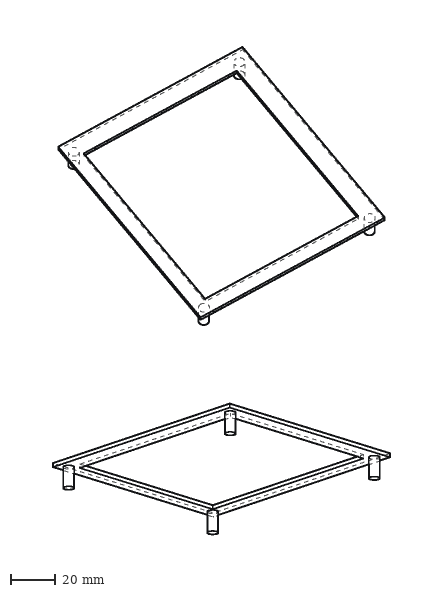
import cadquery as cq

length = 115.0
width = 100.0
height = 12.0
plate_thickness = 2.0

left_border = 9.5
right_border = 7.5
front_border = 7.5
back_border = 9.5

pin_diameter = 5.0
pin_inset_x = 5.0
pin_inset_y = 5.1


def make_plate():
    """Rectangular plate with its front-left corner at the origin and its underside at Z = 0."""
    return cq.Workplane("XY").box(length, width, plate_thickness, centered=False)


def make_window():
    """Block that cuts the rectangular window through the plate."""
    window_length = length - left_border - right_border
    window_width = width - front_border - back_border
    return (
        cq.Workplane("XY")
        .box(window_length, window_width, plate_thickness, centered=False)
        .translate((left_border, front_border, 0))
    )


def make_pins():
    """Four round pins hanging below the plate, one near each corner."""
    pin_length = height - plate_thickness
    pin_centers = [
        (x, y)
        for x in (pin_inset_x, length - pin_inset_x)
        for y in (pin_inset_y, width - pin_inset_y)
    ]
    return (
        cq.Workplane("XY")
        .pushPoints(pin_centers)
        .circle(pin_diameter / 2)
        .extrude(-pin_length)
    )


result = make_plate().cut(make_window()).union(make_pins())